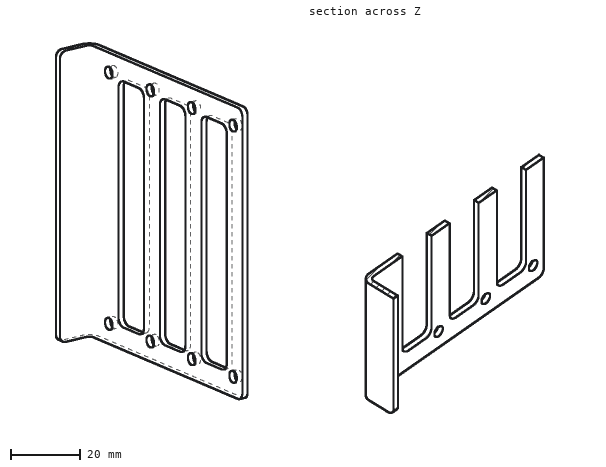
import cadquery as cq

length = 75.5
flange_depth = 13.0
height = 89.0
thickness = 2.0

inner_bend_radius = 1.4
outer_bend_radius = inner_bend_radius + thickness
corner_radius = 2.2

column_count = 4
column_pitch = 20.0
first_column_x = 10.9
hole_diameter = 3.6
hole_row_spacing = 76.7
slot_offset = 10.9
slot_width = 12.3
slot_height = 75.1
slot_corner_radius = 2.5

hole_columns = [first_column_x + i * column_pitch for i in range(column_count)]
slot_centers = [x + slot_offset for x in hole_columns[:-1]]


def bent_sheet():
    """L-shaped sheet with concentric bend radii and rounded free corners."""
    sheet = (
        cq.Workplane("XY")
        .moveTo(0, -flange_depth)
        .lineTo(0, -outer_bend_radius)
        .radiusArc((outer_bend_radius, 0), outer_bend_radius)
        .lineTo(length, 0)
        .lineTo(length, -thickness)
        .lineTo(outer_bend_radius, -thickness)
        .radiusArc((thickness, -outer_bend_radius), -inner_bend_radius)
        .lineTo(thickness, -flange_depth)
        .close()
        .extrude(height / 2, both=True)
    )
    sheet = sheet.faces(">X").edges("|Y").fillet(corner_radius)
    return sheet.faces("<Y").edges("|X").fillet(corner_radius)


def hole_cutter():
    """Two rows of round holes along the top and bottom of the plate."""
    centers = [(x, z) for x in hole_columns for z in (-hole_row_spacing / 2, hole_row_spacing / 2)]
    return cq.Workplane("XZ").pushPoints(centers).circle(hole_diameter / 2).extrude(thickness)


def slot_cutter():
    """Tall windows with rounded corners between the hole columns."""
    return (
        cq.Workplane("XZ")
        .pushPoints([(x, 0) for x in slot_centers])
        .rect(slot_width, slot_height)
        .extrude(thickness)
        .edges("|Y")
        .fillet(slot_corner_radius)
    )


result = bent_sheet().cut(hole_cutter()).cut(slot_cutter())